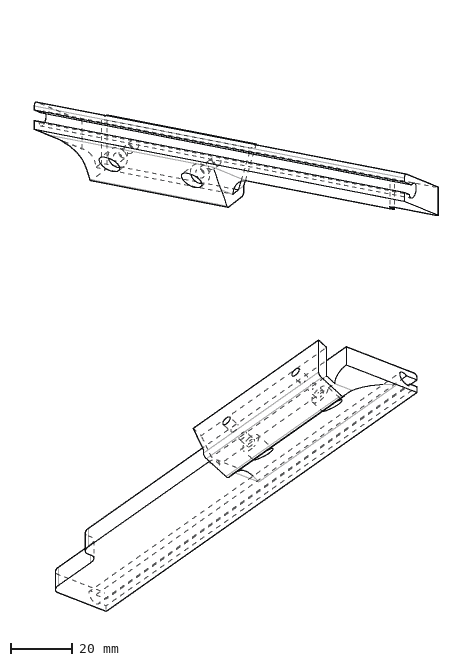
import cadquery as cq
import math

LENGTH = 135.0
DEPTH = 43.0
SLOPE = math.radians(30)
RISE = math.tan(SLOPE)
PLATE_BACK = 35.0
PLATE_BACK_TOP = 19.0
PLATE_HEIGHT = 10.0
FRONT_EDGE_RADIUS = 1.0

GROOVE_CENTRE_DISTANCE = 7.0
GROOVE_RADIUS = 2.5
GROOVE_WIDTH = 3.2

STEP_X = 115.0
STEP_Y = 27.0
STEP_RADIUS = 3.0

CLIP_START = 5.0
CLIP_END = 55.0
CLIP_BACK_HEIGHT = 6.0
CLIP_EDGE_RADIUS = 1.5
CLIP_CURVE_RADIUS = 50.0
CLIP_CURVE_START_Y = 10.0
FLARE_RADIUS = 5.0

SLOT_FLOOR = 3.4
WALL_FRONT = 39.0
WALL_END = 59.5

HOLE_X = (15.0, 45.0)
HOLE_Z = 10.3
HOLE_DIAMETER = 3.2
COUNTERBORE_DIAMETER = 7.0
COUNTERBORE_FLOOR = 31.0


def plate_top(y):
    return PLATE_BACK_TOP + (PLATE_BACK - y) * RISE


def plate_bottom(y):
    return plate_top(y) - PLATE_HEIGHT


ARC_CENTRE_Y = CLIP_CURVE_START_Y - CLIP_CURVE_RADIUS * math.sin(SLOPE)
ARC_CENTRE_Z = plate_bottom(CLIP_CURVE_START_Y) - CLIP_CURVE_RADIUS * math.cos(SLOPE)


def arc_point(angle):
    return (
        ARC_CENTRE_Y + CLIP_CURVE_RADIUS * math.sin(angle),
        ARC_CENTRE_Z + CLIP_CURVE_RADIUS * math.cos(angle),
    )


def extrude_along_x(profile, start, end):
    return profile.extrude(end - start).translate((start, 0, 0))


def make_plate():
    profile = (
        cq.Workplane("YZ")
        .polyline(
            [
                (0, plate_bottom(0)),
                (0, plate_top(0)),
                (PLATE_BACK, plate_top(PLATE_BACK)),
                (PLATE_BACK, plate_bottom(PLATE_BACK)),
            ]
        )
        .close()
    )
    plate = extrude_along_x(profile, 0, LENGTH)
    plate = plate.edges("|X and >Z").fillet(FRONT_EDGE_RADIUS)
    outline = (
        cq.Workplane("XY")
        .polyline(
            [
                (0, 0),
                (LENGTH, 0),
                (LENGTH, STEP_Y),
                (STEP_X, STEP_Y),
                (STEP_X, PLATE_BACK),
                (0, PLATE_BACK),
            ]
        )
        .close()
        .extrude(plate_top(0))
    )
    step_corners = cq.selectors.BoxSelector(
        (STEP_X - 1, STEP_Y - 1, -1), (LENGTH + 1, PLATE_BACK + 1, plate_top(0) + 1)
    )
    outline = outline.edges("|Z").edges(step_corners).fillet(STEP_RADIUS)
    return plate.intersect(outline)


def make_groove():
    middle = plate_top(0) - PLATE_HEIGHT / 2
    centre_y = GROOVE_CENTRE_DISTANCE * math.cos(SLOPE)
    centre_z = middle - GROOVE_CENTRE_DISTANCE * math.sin(SLOPE)
    bore = cq.Workplane("YZ").center(centre_y, centre_z).circle(GROOVE_RADIUS).extrude(LENGTH)
    mouth = (
        cq.Workplane("YZ")
        .center(0, middle)
        .transformed(rotate=(0, 0, -math.degrees(SLOPE)))
        .rect(2 * GROOVE_CENTRE_DISTANCE, GROOVE_WIDTH)
        .extrude(LENGTH)
    )
    return bore.union(mouth)


def clip_profile(back):
    foot_angle = math.acos(-ARC_CENTRE_Z / CLIP_CURVE_RADIUS)
    return (
        cq.Workplane("YZ")
        .moveTo(*arc_point(SLOPE))
        .threePointArc(arc_point((SLOPE + foot_angle) / 2), arc_point(foot_angle))
        .lineTo(back, 0)
        .lineTo(back, CLIP_BACK_HEIGHT)
        .lineTo(PLATE_BACK, plate_bottom(PLATE_BACK))
        .close()
    )


def clip_box(front, back, bottom):
    """Box as long as the clip, from the given height up to the top of the wall."""
    box = cq.Workplane("XY").box(
        CLIP_END - CLIP_START, back - front, PLATE_BACK_TOP - bottom, centered=False
    )
    return box.translate((CLIP_START, front, bottom))


def make_clip():
    body = extrude_along_x(clip_profile(DEPTH), CLIP_START, CLIP_END)
    body = body.union(clip_box(WALL_FRONT, DEPTH, 0))
    body = body.edges("|X and <Z").fillet(CLIP_EDGE_RADIUS)
    return body.cut(clip_box(PLATE_BACK, WALL_FRONT, SLOT_FLOOR))


def make_wall_extension():
    """Leaning end of the wall, widest at the top."""
    return (
        cq.Workplane("XZ", origin=(0, WALL_FRONT, 0))
        .polyline([(CLIP_END, SLOT_FLOOR), (WALL_END, PLATE_BACK_TOP), (CLIP_END, PLATE_BACK_TOP)])
        .close()
        .extrude(WALL_FRONT - DEPTH)
    )


def make_flare(edge, outward):
    """Concave fillet between one side of the clip and the underside of the plate."""
    section = cq.Plane(
        origin=(0, 0, plate_bottom(0)),
        xDir=(-1, 0, 0),
        normal=(0, math.cos(SLOPE), -math.sin(SLOPE)),
    )
    arc_inset = FLARE_RADIUS * (1 - math.sqrt(0.5))
    side = -edge
    tip = side - outward * FLARE_RADIUS
    return (
        cq.Workplane(section)
        .moveTo(side, 0)
        .lineTo(tip, 0)
        .threePointArc((side - outward * arc_inset, -arc_inset), (side, -FLARE_RADIUS))
        .close()
        .extrude(2 * DEPTH)
    )


def make_flares():
    flares = make_flare(CLIP_START, -1).union(make_flare(CLIP_END, 1))
    envelope = extrude_along_x(
        clip_profile(PLATE_BACK), CLIP_START - FLARE_RADIUS, CLIP_END + FLARE_RADIUS
    )
    return flares.intersect(envelope)


def make_hole(x):
    centre = cq.Workplane("XZ").center(x, HOLE_Z)
    shank = centre.circle(HOLE_DIAMETER / 2).extrude(-DEPTH)
    head = centre.circle(COUNTERBORE_DIAMETER / 2).extrude(-COUNTERBORE_FLOOR)
    return shank.union(head)


part = make_plate().cut(make_groove())
part = part.union(make_clip())
part = part.union(make_wall_extension())
part = part.union(make_flares())
for hole_x in HOLE_X:
    part = part.cut(make_hole(hole_x))

result = part